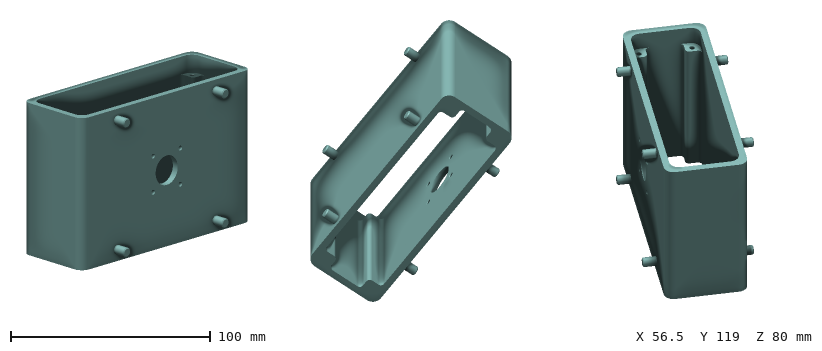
import cadquery as cq
import math

BODY_X = 42.5
BODY_Y = 119.0
BODY_Z = 80.0
WALL = 3.5
INNER_X = BODY_X - 2 * WALL
INNER_Y = BODY_Y - 2 * WALL
OUTER_RADIUS = 5.0
INNER_RADIUS = 5.0

POST_X = 8.0
POST_Y = 7.0
POST_TOP_DROP = 9.5
POST_HEIGHT = BODY_Z - POST_TOP_DROP
POST_FILLET = 2.0

TAP_DRILL_DIAMETER = 2.5
TAP_CHAMFER = 0.25
CHAMFER_ANGLE = 45.0
DRILL_POINT_ANGLE = 118.0
POST_HOLE_DEPTH = 15.0
POST_HOLE_SPACING_X = 27.0
POST_HOLE_SPACING_Y = 104.0

PIN_DIAMETER = 4.9
PIN_LENGTH = 7.0
PIN_CHAMFER = 0.5
PIN_SPACING_Y = 69.0
PIN_END_DISTANCE = 6.0
PIN_HEIGHTS = (PIN_END_DISTANCE, BODY_Z - PIN_END_DISTANCE)

CONNECTOR_Y = 0.0
CONNECTOR_Z = BODY_Z / 2
CONNECTOR_DIAMETER = 15.5
CONNECTOR_SCREW_SPACING = 19.0

SIDES = (-1, 1)


def rounded_block(size_x, size_y, radius, height):
    """Upright block with rounded vertical edges, standing on Z = 0."""
    block = cq.Workplane("XY").rect(size_x, size_y).extrude(height)
    return block.edges("|Z").fillet(radius)


def make_posts():
    """Four corner posts: what a cross-shaped opening leaves of the cavity."""
    half_gap_x = INNER_X / 2 - POST_X
    half_gap_y = INNER_Y / 2 - POST_Y
    long_opening = cq.Workplane("XY").rect(2 * half_gap_x, INNER_Y).extrude(POST_HEIGHT)
    wide_opening = cq.Workplane("XY").rect(INNER_X, 2 * half_gap_y).extrude(POST_HEIGHT)
    opening = long_opening.union(wide_opening)
    rounded_edges = [
        (half_gap_x, half_gap_y),
        (half_gap_x, INNER_Y / 2),
        (INNER_X / 2, half_gap_y),
    ]
    for edge_x, edge_y in rounded_edges:
        for side_x in SIDES:
            for side_y in SIDES:
                edge_middle = (side_x * edge_x, side_y * edge_y, POST_HEIGHT / 2)
                edge = cq.selectors.NearestToPointSelector(edge_middle)
                opening = opening.edges(edge).fillet(POST_FILLET)
    cavity_below_posts = rounded_block(INNER_X, INNER_Y, INNER_RADIUS, POST_HEIGHT)
    return cavity_below_posts.cut(opening)


def cut_post_holes(part):
    """Blind tapped holes with a chamfered mouth and a drill-point bottom."""
    hole_radius = TAP_DRILL_DIAMETER / 2
    floor_z = POST_HEIGHT - POST_HOLE_DEPTH
    tip_height = hole_radius / math.tan(math.radians(DRILL_POINT_ANGLE / 2))
    profile = [
        (0, POST_HEIGHT),
        (hole_radius + TAP_CHAMFER, POST_HEIGHT),
        (hole_radius, POST_HEIGHT - TAP_CHAMFER),
        (hole_radius, floor_z),
        (0, floor_z - tip_height),
    ]
    drill = cq.Workplane("XZ").polyline(profile).close().revolve(360, (0, 0, 0), (0, 1, 0))
    for side_x in SIDES:
        for side_y in SIDES:
            place = (side_x * POST_HOLE_SPACING_X / 2, side_y * POST_HOLE_SPACING_Y / 2, 0)
            part = part.cut(drill.translate(place))
    return part


def cut_connector_opening(part):
    """Round opening with four tapped holes, chamfered inside, through the +X wall."""
    inner_face = cq.Workplane("YZ", origin=(INNER_X / 2, CONNECTOR_Y, CONNECTOR_Z))
    part = part.cut(inner_face.circle(CONNECTOR_DIAMETER / 2).extrude(WALL))
    screw_places = inner_face.rect(
        CONNECTOR_SCREW_SPACING, CONNECTOR_SCREW_SPACING, forConstruction=True
    ).vertices()
    hole_radius = TAP_DRILL_DIAMETER / 2
    part = part.cut(screw_places.circle(hole_radius).extrude(WALL))
    mouths = screw_places.circle(hole_radius + TAP_CHAMFER).extrude(TAP_CHAMFER, taper=CHAMFER_ANGLE)
    return part.cut(mouths)


def make_pins(side):
    """Four chamfered pins standing out of the long wall on the given X side."""
    places = [(side_y * PIN_SPACING_Y / 2, z) for side_y in SIDES for z in PIN_HEIGHTS]
    wall_face = cq.Workplane("YZ", origin=(side * BODY_X / 2, 0, 0))
    pins = wall_face.pushPoints(places).circle(PIN_DIAMETER / 2).extrude(side * PIN_LENGTH)
    pin_ends = ">X" if side > 0 else "<X"
    return pins.faces(pin_ends).edges().chamfer(PIN_CHAMFER)


outside = rounded_block(BODY_X, BODY_Y, OUTER_RADIUS, BODY_Z)
cavity = rounded_block(INNER_X, INNER_Y, INNER_RADIUS, BODY_Z)
result = outside.cut(cavity).union(make_posts())
result = cut_post_holes(result)
result = cut_connector_opening(result)
for wall_side in SIDES:
    result = result.union(make_pins(wall_side))